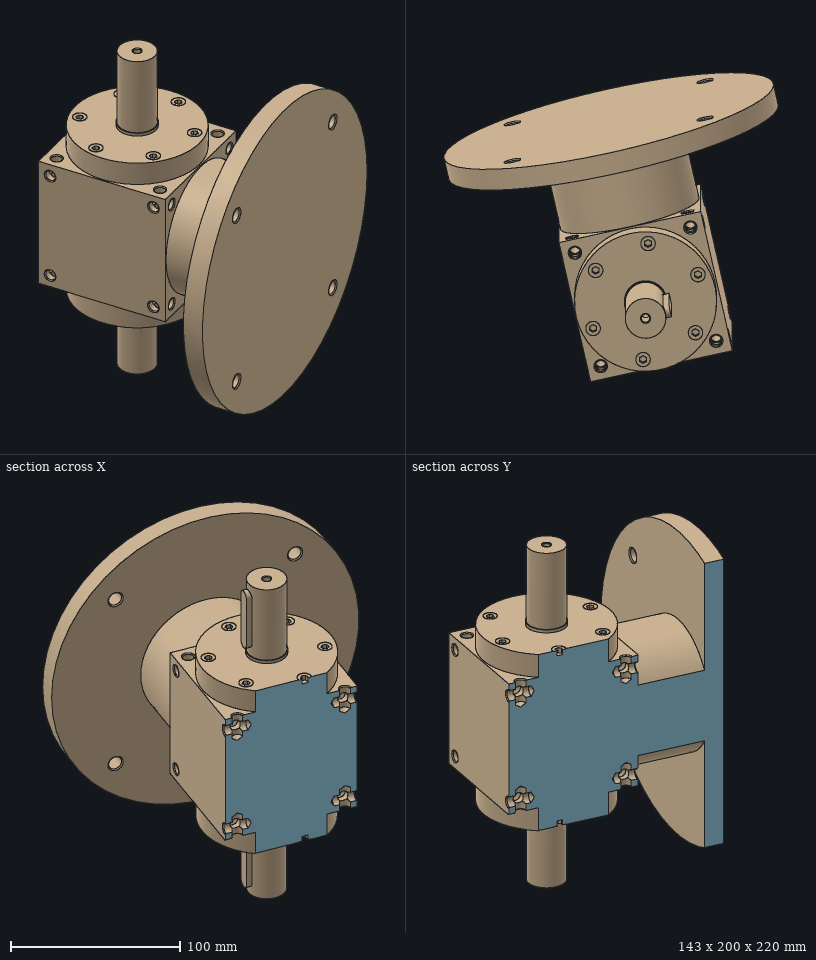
import cadquery as cq
import math

BLOCK_SIDE = 86.0
HALF_BLOCK = BLOCK_SIDE / 2

COVER_DIAMETER = 84.0
COVER_HEIGHT = 15.0
COVER_TOP = HALF_BLOCK + COVER_HEIGHT

OVERALL_LENGTH_X = 143.0
FLANGE_DIAMETER = 200.0
FLANGE_THICKNESS = 13.0
FLANGE_END = OVERALL_LENGTH_X - HALF_BLOCK
FLANGE_FACE = FLANGE_END - FLANGE_THICKNESS
FLANGE_HOLE_COUNT = 4
FLANGE_HOLE_CIRCLE = 165.0
FLANGE_HOLE_START_ANGLE = 45
FLANGE_HOLE_DIAMETER = 8.4
FLANGE_HOLE_RIM = 10.0

BLOCK_HOLE_SPACING = 70.0
BLOCK_HOLE_DIAMETER = 6.5
BLOCK_HOLE_RIM = 8.0
BLOCK_HOLE_DEPTH = 15.0

SCREW_COUNT = 6
SCREW_CIRCLE = 70.0
SCREW_START_ANGLE = 15
SCREW_HEAD_DIAMETER = 8.5
SCREW_HEAD_RECESS = 0.2
SOCKET_ACROSS_FLATS = 4.0
SOCKET_DEPTH = 3.3

SHAFT_LENGTH = 220.0
HALF_SHAFT = SHAFT_LENGTH / 2
SHAFT_DIAMETER = 24.0
COLLAR_DIAMETER = 25.0
COLLAR_HEIGHT = 2.0
COLLAR_END = COVER_TOP + COLLAR_HEIGHT
CENTRE_HOLE_DIAMETER = 4.8
CENTRE_HOLE_RIM = 6.0
CENTRE_HOLE_DEPTH = 15.0

KEY_WIDTH = 8.0
KEY_LENGTH = 40.0
KEY_BOTTOM = 8.0
KEY_TOP = 15.0
KEY_END_GAP = 4.8
KEY_CENTRE = HALF_SHAFT - KEY_END_GAP - KEY_LENGTH / 2

DRILL_POINT_ANGLE = 118


def tapped_hole(diameter, rim_diameter, depth):
    """Drill shape pointing down -Z from the origin: 45 degree rim, bore and conical point."""
    radius = diameter / 2
    rim_radius = rim_diameter / 2
    point_height = radius / math.tan(math.radians(DRILL_POINT_ANGLE / 2))
    return (
        cq.Workplane("XZ")
        .moveTo(0, 0)
        .lineTo(rim_radius, 0)
        .lineTo(radius, radius - rim_radius)
        .lineTo(radius, -depth)
        .lineTo(0, -depth - point_height)
        .close()
        .revolve(360, (0, 0, 0), (0, 1, 0))
    )


def block_face_holes():
    """Four corner holes on the +Z face of the block."""
    drill = tapped_hole(BLOCK_HOLE_DIAMETER, BLOCK_HOLE_RIM, BLOCK_HOLE_DEPTH).val()
    return (
        cq.Workplane("XY", origin=(0, 0, HALF_BLOCK))
        .rect(BLOCK_HOLE_SPACING, BLOCK_HOLE_SPACING, forConstruction=True)
        .vertices()
        .eachpoint(lambda place: drill.moved(place))
    )


def make_block():
    """Cube with the same four tapped holes on each of its six faces."""
    block = cq.Workplane("XY").box(BLOCK_SIDE, BLOCK_SIDE, BLOCK_SIDE)
    holes = block_face_holes()
    for quarter_turn in range(4):
        block = block.cut(holes.rotate((0, 0, 0), (1, 0, 0), 90 * quarter_turn))
    for side_angle in (90, -90):
        block = block.cut(holes.rotate((0, 0, 0), (0, 1, 0), side_angle))
    return block


def make_top_cover():
    """Cover on the +Z face, with the socketed screw heads set just below its surface."""
    cover = cq.Workplane("XY", origin=(0, 0, HALF_BLOCK)).circle(COVER_DIAMETER / 2).extrude(COVER_HEIGHT)
    socket_across_corners = SOCKET_ACROSS_FLATS / math.cos(math.pi / 6)
    screw_places = (
        cq.Workplane("XY", origin=(0, 0, COVER_TOP))
        .polarArray(SCREW_CIRCLE / 2, SCREW_START_ANGLE, 360, SCREW_COUNT)
    )
    heads = screw_places.circle(SCREW_HEAD_DIAMETER / 2).extrude(-SCREW_HEAD_RECESS)
    sockets = screw_places.polygon(6, socket_across_corners).extrude(-SCREW_HEAD_RECESS - SOCKET_DEPTH)
    return cover.cut(heads).cut(sockets)


def make_flange():
    """Input tube and motor flange along +X, with chamfered holes through the flange."""
    tube = (
        cq.Workplane("YZ", origin=(HALF_BLOCK, 0, 0))
        .circle(COVER_DIAMETER / 2)
        .extrude(FLANGE_FACE - HALF_BLOCK)
    )
    plate = (
        cq.Workplane("YZ", origin=(FLANGE_FACE, 0, 0))
        .circle(FLANGE_DIAMETER / 2)
        .extrude(FLANGE_THICKNESS)
    )
    holes = (
        cq.Workplane("YZ", origin=(FLANGE_FACE, 0, 0))
        .polarArray(FLANGE_HOLE_CIRCLE / 2, FLANGE_HOLE_START_ANGLE, 360, FLANGE_HOLE_COUNT)
        .circle(FLANGE_HOLE_DIAMETER / 2)
        .extrude(FLANGE_THICKNESS)
    )
    rim = (FLANGE_HOLE_RIM - FLANGE_HOLE_DIAMETER) / 2
    plate = plate.cut(holes).edges(cq.selectors.RadiusNthSelector(0)).chamfer(rim)
    return tube.union(plate)


def make_housing():
    """Block, both covers and flange in one piece, bored through along Z for the shaft."""
    top_cover = make_top_cover()
    bottom_cover = top_cover.mirror("XY")
    bore = cq.Workplane("XY").circle(COLLAR_DIAMETER / 2).extrude(COVER_TOP, both=True)
    return make_block().union(top_cover).union(bottom_cover).union(make_flange()).cut(bore)


def make_key(centre_z):
    """Round-ended key lying along Z."""
    return (
        cq.Workplane("XZ", origin=(0, KEY_TOP, centre_z))
        .slot2D(KEY_LENGTH, KEY_WIDTH, 90)
        .extrude(KEY_TOP - KEY_BOTTOM)
    )


def make_shaft(keys):
    """Through shaft with collar, a centre hole in each end and a seat for each key."""
    shaft = cq.Workplane("XY").circle(SHAFT_DIAMETER / 2).extrude(HALF_SHAFT, both=True)
    collar = cq.Workplane("XY").circle(COLLAR_DIAMETER / 2).extrude(COLLAR_END, both=True)
    top_hole = tapped_hole(CENTRE_HOLE_DIAMETER, CENTRE_HOLE_RIM, CENTRE_HOLE_DEPTH)
    top_hole = top_hole.translate((0, 0, HALF_SHAFT))
    shaft = shaft.union(collar).cut(top_hole).cut(top_hole.mirror("XY"))
    for key in keys:
        shaft = shaft.cut(key)
    return shaft


housing = make_housing()
keys = [make_key(centre_z) for centre_z in (KEY_CENTRE, -KEY_CENTRE)]
shaft = make_shaft(keys)

result = cq.Compound.makeCompound([housing.val(), shaft.val(), *[key.val() for key in keys]])